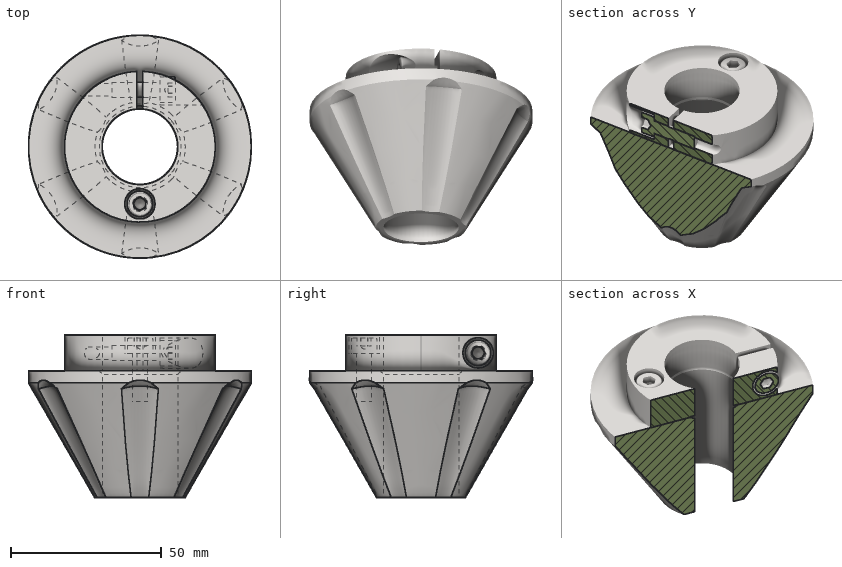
import cadquery as cq
import math

flange_diameter = 74.0
flange_thickness = 4.0
cone_height = 38.0
cone_end_diameter = 30.0
collar_diameter = 50.0
collar_height = 12.0
bore_diameter = 25.0
bore_chamfer = 1.0

flange_top = cone_height + flange_thickness
collar_top = flange_top + collar_height
collar_mid_height = flange_top + collar_height / 2

flute_count = 6
first_flute_angle = 30.0
flute_radius = 10.0
flute_tilt = 27.5
flute_end_taper = 33.0
flute_foot_radius = 14.2
flute_floor_top = 37.0
flute_overrun = 11.1

slot_width = 2.0

screw_offset = 18.95
head_diameter = 8.5
head_length = 5.0
head_rounding = 0.5
shank_diameter = 5.0
shank_length = 16.0
socket_sides = 6
socket_across_flats = 4.0
socket_depth = 2.5
socket_tip_angle = 120.0
socket_turn = 27.0

counterbore_diameter = 10.1
mount_head_recess = 1.0
clamp_seat_x = 6.65
tip_hole_diameter = 4.2

mount_seat_z = collar_top - mount_head_recess - head_length
mount_seat = cq.Plane(origin=(0, -screw_offset, mount_seat_z), xDir=(1, 0, 0), normal=(0, 0, 1))
clamp_seat = cq.Plane(
    origin=(clamp_seat_x, screw_offset, collar_mid_height), xDir=(0, 0, 1), normal=(1, 0, 0)
)


def rod(plane, diameter, start, end):
    """Cylinder on the plane's normal, between two distances from the plane."""
    return cq.Workplane(plane).workplane(offset=start).circle(diameter / 2).extrude(end - start)


def make_flute_cutter():
    """Tilted cylinder with a conical upper end, lying on the +X side."""
    tilt = math.radians(flute_tilt)

    def at(along, outward):
        floor_top_x = flute_foot_radius + flute_floor_top * math.tan(tilt)
        x = floor_top_x + along * math.sin(tilt) + outward * math.cos(tilt)
        z = flute_floor_top + along * math.cos(tilt) - outward * math.sin(tilt)
        return (x, z)

    low_end = -(flute_floor_top + flute_overrun) / math.cos(tilt)
    tip = flute_radius / math.tan(math.radians(flute_end_taper))
    axis_foot = at(low_end, flute_radius)
    axis_tip = at(tip, flute_radius)
    outline = [axis_foot, at(low_end, 0), at(0, 0), axis_tip]
    return cq.Workplane("XZ").polyline(outline).close().revolve(360, axis_foot, axis_tip)


def make_cone():
    """Fluted cone with its flange, bored through and tapped for the mounting screw."""
    bore_radius = bore_diameter / 2
    outline = [
        (bore_radius, 0),
        (cone_end_diameter / 2, 0),
        (flange_diameter / 2, cone_height),
        (flange_diameter / 2, flange_top),
        (bore_radius + bore_chamfer, flange_top),
        (bore_radius, flange_top - bore_chamfer),
    ]
    cone = cq.Workplane("XZ").polyline(outline).close().revolve(360, (0, 0), (0, 1))
    cutter = make_flute_cutter()
    for index in range(flute_count):
        angle = first_flute_angle + index * 360 / flute_count
        cone = cone.cut(cutter.rotate((0, 0, 0), (0, 0, 1), angle))
    return cone.cut(rod(mount_seat, shank_diameter, -shank_length, 0))


def make_collar():
    """Slotted clamping collar with seats for both screws."""
    collar = (
        cq.Workplane("XY", origin=(0, 0, flange_top))
        .circle(collar_diameter / 2)
        .circle(bore_diameter / 2)
        .extrude(collar_height)
    )
    slot = (
        cq.Workplane("XY", origin=(0, 0, flange_top))
        .rect(slot_width, collar_diameter / 2, centered=(True, False))
        .extrude(collar_height)
    )
    collar = collar.cut(slot)
    for seat in (mount_seat, clamp_seat):
        collar = collar.cut(rod(seat, shank_diameter, -shank_length, 0))
        collar = collar.cut(rod(seat, counterbore_diameter, 0, collar_diameter / 2))
    return collar.cut(rod(clamp_seat, tip_hole_diameter, -collar_diameter, -shank_length))


def make_screw(seat):
    """Socket head screw with the underside of its head on the seat plane."""
    head = rod(seat, head_diameter, 0, head_length).faces(cq.DirectionMinMaxSelector(seat.zDir, True))
    head = head.fillet(head_rounding)
    socket_floor = head_length - socket_depth
    corner_diameter = socket_across_flats / math.cos(math.pi / socket_sides)
    socket = (
        cq.Workplane(seat)
        .workplane(offset=socket_floor)
        .transformed(rotate=(0, 0, socket_turn))
        .polygon(socket_sides, corner_diameter)
        .extrude(socket_depth)
    )
    tip_radius = socket_across_flats / 2
    tip_depth = tip_radius / math.tan(math.radians(socket_tip_angle / 2))
    tip = cq.Workplane(
        cq.Solid.makeCone(
            tip_radius, 0, tip_depth, pnt=seat.toWorldCoords((0, 0, socket_floor)), dir=seat.zDir * -1
        )
    )
    return head.union(rod(seat, shank_diameter, -shank_length, 0)).cut(socket).cut(tip)


cone = make_cone()
collar = make_collar()
screws = [make_screw(seat) for seat in (mount_seat, clamp_seat)]

result = cq.Compound.makeCompound([cone.val(), collar.val(), *[screw.val() for screw in screws]])